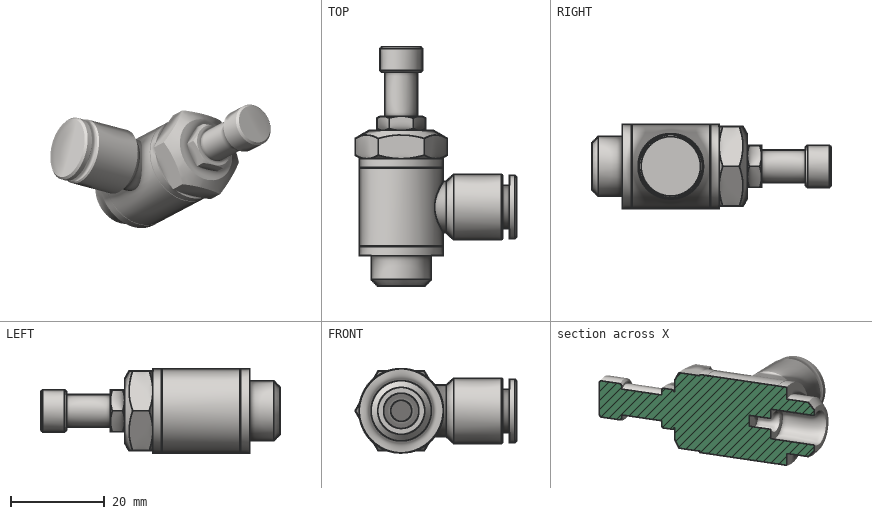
import cadquery as cq
import math

NOSE_CHAMFER_Y = 1.45
BODY_START = 6.5
LOWER_GROOVE_Y = 8.4
UPPER_GROOVE_Y = 25.1
BODY_END = 27.15
HEX_END = 33.15
NUT_END = 36.15
KNOB_START = 45.5
LENGTH = 51.0

NOSE_RADIUS = 6.45
NOSE_TIP_RADIUS = 5.0
BODY_DIAMETER = 18.0
BODY_RADIUS = BODY_DIAMETER / 2
STEM_RADIUS = 3.5
KNOB_RADIUS = 4.55
KNOB_CHAMFER = 0.45

GROOVE_WIDTH = 0.2
GROOVE_DEPTH = 0.1

HEX_FLATS = 17.0
HEX_TOP_RADIUS = 6.85
NUT_FLATS = 9.0
CHAMFER_SLOPE = math.tan(math.radians(30))

BORE_RADIUS = 3.8
BORE_DEPTH = 10.2
INNER_BORE_RADIUS = 2.25
INNER_BORE_DEPTH = 15.3

OVERALL_WIDTH = 34.45
BRANCH_Y = 16.85
BRANCH_NECK_RADIUS = 5.5
BRANCH_CONE_START = 9.6
BRANCH_CONE_END = 11.2
BRANCH_RADIUS = 7.0
BRANCH_END = 21.65
BRANCH_CHAMFER = 0.3
SLEEVE_RADIUS = 4.65
FLANGE_START = 23.05
FLANGE_END = OVERALL_WIDTH - HEX_FLATS / math.sqrt(3)
FLANGE_RADIUS = 6.8
FLANGE_CHAMFER = 0.45


def cylinder_y(radius, start, end):
    """Cylinder on the Y axis between two stations."""
    return cq.Workplane("XZ", origin=(0, start, 0)).circle(radius).extrude(start - end)


def turned_y(profile):
    """Revolve (radius, y) points, starting and ending on the axis, about Y."""
    return cq.Workplane("XY").polyline(profile).close().revolve(360, (0, 0), (0, 1))


def chamfered_hex(flats, start, end, start_radius, end_radius):
    """Hexagonal prism with conical chamfers that leave a round face at each end."""
    corner_radius = flats / math.sqrt(3)
    prism = (
        cq.Workplane("XZ", origin=(0, start, 0))
        .polygon(6, 2 * corner_radius)
        .extrude(start - end)
    )
    envelope = turned_y([
        (0, start),
        (start_radius, start),
        (corner_radius, start + (corner_radius - start_radius) * CHAMFER_SLOPE),
        (corner_radius, end - (corner_radius - end_radius) * CHAMFER_SLOPE),
        (end_radius, end),
        (0, end),
    ])
    return prism.intersect(envelope)


def groove(start):
    """Shallow ring to be removed from the body surface."""
    outer = cylinder_y(BODY_RADIUS, start, start + GROOVE_WIDTH)
    return outer.cut(cylinder_y(BODY_RADIUS - GROOVE_DEPTH, start, start + GROOVE_WIDTH))


def side_branch():
    """Tube connector with a tapered shoulder and a flanged release sleeve."""
    profile = [
        (0, 0),
        (0, BRANCH_NECK_RADIUS),
        (BRANCH_CONE_START, BRANCH_NECK_RADIUS),
        (BRANCH_CONE_END, BRANCH_RADIUS),
        (BRANCH_END - BRANCH_CHAMFER, BRANCH_RADIUS),
        (BRANCH_END, BRANCH_RADIUS - BRANCH_CHAMFER),
        (BRANCH_END, SLEEVE_RADIUS),
        (FLANGE_START, SLEEVE_RADIUS),
        (FLANGE_START, FLANGE_RADIUS),
        (FLANGE_END - FLANGE_CHAMFER, FLANGE_RADIUS),
        (FLANGE_END, FLANGE_RADIUS - FLANGE_CHAMFER),
        (FLANGE_END, 0),
    ]
    branch = cq.Workplane("XY").polyline(profile).close().revolve(360, (0, 0), (1, 0))
    return branch.translate((0, BRANCH_Y, 0))


nose = turned_y([
    (0, 0),
    (NOSE_TIP_RADIUS, 0),
    (NOSE_RADIUS, NOSE_CHAMFER_Y),
    (NOSE_RADIUS, BODY_START),
    (0, BODY_START),
])
body = cylinder_y(BODY_RADIUS, BODY_START, BODY_END)
for groove_y in (LOWER_GROOVE_Y, UPPER_GROOVE_Y):
    body = body.cut(groove(groove_y))

body_hex = chamfered_hex(HEX_FLATS, BODY_END, HEX_END, HEX_FLATS / 2, HEX_TOP_RADIUS)
lock_nut = chamfered_hex(NUT_FLATS, HEX_END, NUT_END, NUT_FLATS / 2, NUT_FLATS / 2)

stem = cylinder_y(STEM_RADIUS, NUT_END, KNOB_START)
knob = cylinder_y(KNOB_RADIUS, KNOB_START, LENGTH).edges().chamfer(KNOB_CHAMFER)

result = nose
for piece in (body, body_hex, lock_nut, stem, knob, side_branch()):
    result = result.union(piece)

result = result.cut(cylinder_y(BORE_RADIUS, 0, BORE_DEPTH))
result = result.cut(cylinder_y(INNER_BORE_RADIUS, BORE_DEPTH, INNER_BORE_DEPTH))